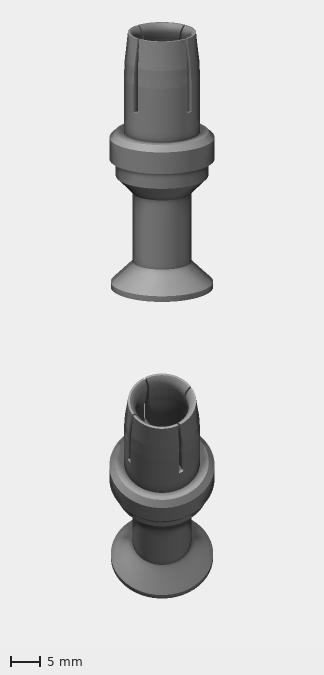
import cadquery as cq

total_height = 45.6
foot_rim_top = 1.0
foot_cone_top = 4.65
neck_top = 17.0
shoulder_bottom = 19.95
collar_bottom = 22.95
collar_top = 27.8
sleeve_bend = 37.45
petal_bend = 40.6

foot_radius = 8.75
neck_radius = 5.0
shoulder_radius = 7.95
collar_diameter = 18.0
collar_radius = collar_diameter / 2
collar_chamfer = 1.0
sleeve_radius = 6.5
petal_bend_radius = 6.4
tip_radius = 5.85

through_radius = 2.95
socket_radius = 5.0
socket_bend = 39.2
lip_radius = 4.5
lip_height = 43.45
mouth_radius = 5.2
mouth_chamfer = 0.27
mouth_height = total_height - mouth_chamfer
mouth_mid_point = (4.7, 44.55)
socket_floor = collar_top
socket_cone_depth = 1.2
socket_cone_bottom = socket_floor - socket_cone_depth

slot_bottom = 32.6
slot_width = 0.95
slot_tip_width = 0.3


def turned_body():
    """Revolve the half section, including the stepped bore, about Z."""
    return (
        cq.Workplane("XZ")
        .moveTo(through_radius, 0)
        .lineTo(foot_radius, 0)
        .lineTo(foot_radius, foot_rim_top)
        .lineTo(neck_radius, foot_cone_top)
        .lineTo(neck_radius, neck_top)
        .lineTo(shoulder_radius, shoulder_bottom)
        .lineTo(shoulder_radius, collar_bottom)
        .lineTo(collar_radius, collar_bottom)
        .lineTo(collar_radius, collar_top - collar_chamfer)
        .lineTo(collar_radius - collar_chamfer, collar_top)
        .lineTo(sleeve_radius, collar_top)
        .lineTo(sleeve_radius, sleeve_bend)
        .lineTo(petal_bend_radius, petal_bend)
        .lineTo(tip_radius, total_height)
        .lineTo(mouth_radius + mouth_chamfer, total_height)
        .lineTo(mouth_radius, mouth_height)
        .threePointArc(mouth_mid_point, (lip_radius, lip_height))
        .lineTo(socket_radius, socket_bend)
        .lineTo(socket_radius, socket_floor)
        .lineTo(through_radius, socket_cone_bottom)
        .close()
        .revolve(360, (0, 0, 0), (0, 1, 0))
    )


def slot_cutter():
    """Slot across the whole sleeve, narrowing where the petals bend inwards."""
    return (
        cq.Workplane("XZ")
        .polyline([
            (-slot_width / 2, slot_bottom),
            (slot_width / 2, slot_bottom),
            (slot_width / 2, socket_bend),
            (slot_tip_width / 2, total_height),
            (-slot_tip_width / 2, total_height),
            (-slot_width / 2, socket_bend),
        ])
        .close()
        .extrude(collar_radius, both=True)
    )


result = turned_body()
for angle in (0, 90):
    result = result.cut(slot_cutter().rotate((0, 0, 0), (0, 0, 1), angle))